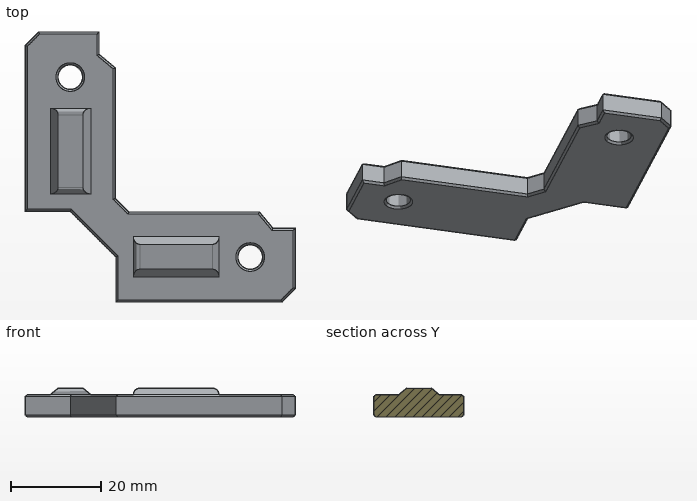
import cadquery as cq

overall = 60.0
arm_width = 20.05
outer_elbow = 20.15
plate_thickness = 5.0
edge_chamfer = 0.5
corner_cut = 3.0
notch_depth = 3.6
notch_start = 5.0
notch_run = 3.0
hole_diameter = 5.4
rib_height = 1.45
rib_length = 19.0
rib_base_width = 9.0
rib_top_width = 5.5
rib_center = 33.55
rib_middle = 10.1

arm_middle = arm_width / 2
hole_center = overall - arm_middle


def mirror_points(points):
    """Reflect points across the plate's diagonal symmetry line, keeping the loop direction."""
    return [(y, x) for x, y in reversed(points)]


def make_plate():
    """L-shaped plate with cut corners and chamfered top and bottom edges."""
    half_outline = [
        (outer_elbow, arm_middle),
        (outer_elbow, 0),
        (overall - corner_cut, 0),
        (overall, corner_cut),
        (overall, arm_width - notch_depth),
        (overall - notch_start, arm_width - notch_depth),
        (overall - notch_start - notch_run, arm_width),
        (arm_width + corner_cut, arm_width),
    ]
    outline = half_outline + mirror_points(half_outline)
    plate = cq.Workplane("XY").polyline(outline).close().extrude(plate_thickness)
    return plate.faces("<Z or >Z").edges().chamfer(edge_chamfer)


def make_hole_cutter():
    """Through hole with a chamfered rim on both faces, in the X arm."""
    radius = hole_diameter / 2
    rim_radius = radius + edge_chamfer
    profile = [
        (0, 0),
        (rim_radius, 0),
        (radius, edge_chamfer),
        (radius, plate_thickness - edge_chamfer),
        (rim_radius, plate_thickness),
        (0, plate_thickness),
    ]
    cutter = cq.Workplane("XZ").polyline(profile).close().revolve(360, (0, 0, 0), (0, 1, 0))
    return cutter.translate((hole_center, arm_middle, 0))


def make_rib():
    """Raised rib on the X arm: sloped long sides and rounded ends."""
    rounded_bar = (
        cq.Workplane("XY")
        .box(rib_length, rib_base_width, 2 * rib_height)
        .edges("|Y and >Z")
        .fillet(rib_height)
    )
    half_base = rib_base_width / 2
    half_top = rib_top_width / 2
    sloped_bar = (
        cq.Workplane("YZ")
        .polyline([(-half_base, 0), (half_base, 0), (half_top, rib_height), (-half_top, rib_height)])
        .close()
        .extrude(rib_length / 2, both=True)
    )
    return rounded_bar.intersect(sloped_bar).translate((rib_center, rib_middle, plate_thickness))


def onto_y_arm(shape):
    """Carry a feature of the X arm over to the Y arm by swapping X and Y."""
    return shape.mirror("YZ").rotate((0, 0, 0), (0, 0, 1), -90)


hole = make_hole_cutter()
rib = make_rib()

bracket = make_plate()
for place in (lambda shape: shape, onto_y_arm):
    bracket = bracket.cut(place(hole)).union(place(rib))

result = bracket.translate((-overall / 2, -overall / 2, 0))